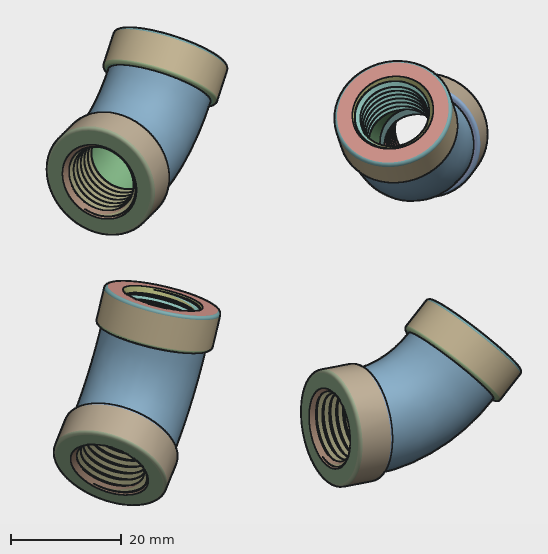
import math

import cadquery as cq

bend_angle = 45.0
center_to_face = 17.78
collar_diameter = 21.59
collar_length = 7.112
collar_edge_radius = 0.6
pipe_diameter = 19.4
pipe_bore_diameter = 13.97

thread_pitch = 25.4 / 18
thread_length = 10.05
radius_taper = 1 / 32
crest_radius_at_face = 6.2
crest_land = 0.13
root_land = 0.25
half_thread_angle = 30.0
groove_start = -1.475
mouth_radius = 7.4

cutter_overlap = 0.1

bend_radius = (center_to_face - collar_length) / math.tan(math.radians(bend_angle / 2))
flank_slope = math.tan(math.radians(half_thread_angle))
groove_depth = (thread_pitch - crest_land - root_land) / 2 / flank_slope


def crest_radius(depth):
    """Radius of the thread crests at a depth below the open face."""
    return crest_radius_at_face - radius_taper * depth


def place_at_inlet(shape):
    """Turn a shape built along +Z from its open face onto the inlet axis (+Y), as a mirror image."""
    return shape.rotate((0, 0, 0), (1, 0, 0), -90).mirror("YZ")


def place_at_outlet(shape):
    """Mirror a shape from the inlet to the outlet across the plane that bisects the bend."""
    half_bend = math.radians(bend_angle / 2)
    normal = (0, math.cos(half_bend), math.sin(half_bend))
    axes_crossing = (0, center_to_face, 0)
    return place_at_inlet(shape).mirror(cq.Vector(*normal), axes_crossing)


placements = (place_at_inlet, place_at_outlet)


def bent_rod(diameter):
    """Round rod along the bend, from the inner end of one collar to that of the other."""
    section = cq.Workplane("XZ", origin=(0, collar_length, 0)).circle(diameter / 2)
    return section.revolve(bend_angle, (-1, bend_radius, 0), (1, bend_radius, 0))


def collar():
    """Collar blank with both rims rounded."""
    blank = cq.Workplane("XY").circle(collar_diameter / 2).extrude(collar_length)
    return blank.edges().fillet(collar_edge_radius)


def crest_cone():
    """Tapered bore at the thread crests, with a 45 degree chamfer at the mouth."""
    chamfer_depth = (mouth_radius - crest_radius_at_face) / (1 - radius_taper)
    profile = (
        cq.Workplane("XZ")
        .lineTo(mouth_radius, 0)
        .lineTo(crest_radius(chamfer_depth), chamfer_depth)
        .lineTo(crest_radius(thread_length), thread_length)
        .lineTo(0, thread_length)
        .close()
    )
    return profile.revolve(360, (0, 0, 0), (0, 1, 0))


def thread_groove():
    """Helical V groove that follows the crest cone, running out past both ends of the thread."""
    start_radius = crest_radius(groove_start)
    helix_height = thread_length + thread_pitch - groove_start
    taper_angle = math.degrees(math.atan(radius_taper))
    helix = cq.Wire.makeHelix(thread_pitch, helix_height, start_radius, angle=-taper_angle)

    inner_radius = start_radius - cutter_overlap
    root_radius = start_radius + groove_depth
    half_mouth = (thread_pitch - crest_land) / 2 + cutter_overlap * flank_slope
    half_root = root_land / 2
    profile = (
        cq.Workplane("XZ")
        .moveTo(inner_radius, -half_mouth)
        .lineTo(root_radius, -half_root)
        .lineTo(root_radius, half_root)
        .lineTo(inner_radius, half_mouth)
        .close()
    )
    groove = profile.sweep(cq.Workplane(helix), isFrenet=True)
    return groove.translate((0, 0, groove_start))


def threaded_bore():
    """Everything removed from one end: crest cone, mouth chamfer and thread groove."""
    thread_zone = cq.Workplane("XY").circle(mouth_radius).extrude(thread_length)
    return crest_cone().union(thread_groove().intersect(thread_zone))


def pipe_bore():
    """Plain bent bore between the inner ends of the two threads."""
    thread_zone = cq.Workplane("XY").circle(pipe_diameter / 2).extrude(thread_length)
    bore = bent_rod(pipe_bore_diameter)
    for place in placements:
        bore = bore.cut(place(thread_zone))
    return bore


def elbow():
    """Bent pipe with a threaded collar at each end."""
    body = bent_rod(pipe_diameter)
    for place in placements:
        body = body.union(place(collar()))
    body = body.cut(pipe_bore())
    end_bore = threaded_bore()
    for place in placements:
        body = body.cut(place(end_bore))
    return body


result = elbow().solids()